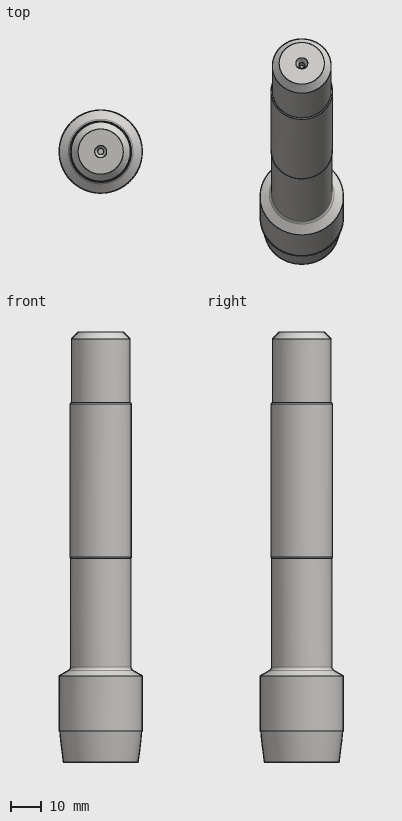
import cadquery as cq
import math

TOTAL_HEIGHT = 140.0
TIP_DIAMETER = 19.2
TIP_CHAMFER = 2.2
GUIDE_DIAMETER = 20.0
GUIDE_TOP = 116.6
GUIDE_CHAMFER = (GUIDE_DIAMETER - TIP_DIAMETER) / 2
SHANK_DIAMETER = 19.7
SHANK_TOP = 66.4
SHANK_CHAMFER = 0.4

CENTRE_HOLE_DIAMETER = 2.0
CENTRE_HOLE_DEPTH = 4.2
CENTRE_SINK_DIAMETER = 3.9
CENTRE_SINK_ANGLE = 60

HEAD_DIAMETER = 27.2
HEAD_BOTTOM = 10.2
SHOULDER_START = 28.1
SHOULDER_SLOPE = 30
SHOULDER_FILLET = 1.3
SHOULDER_TOP = SHOULDER_START + (HEAD_DIAMETER - SHANK_DIAMETER) / 2 * math.tan(math.radians(SHOULDER_SLOPE))

EDGE_MARGIN = 0.1

NOSE_TOP_DIAMETER = 26.7
NOSE_MIDDLE_DIAMETER = 25.8
NOSE_BOTTOM_DIAMETER = 24.4


def make_pillar():
    """Headed, stepped pillar, turned about Z, with a centre hole in its top."""
    tip_radius = TIP_DIAMETER / 2
    guide_radius = GUIDE_DIAMETER / 2
    shank_radius = SHANK_DIAMETER / 2
    head_radius = HEAD_DIAMETER / 2
    pillar = (
        cq.Workplane("XZ")
        .moveTo(0, HEAD_BOTTOM)
        .lineTo(head_radius, HEAD_BOTTOM)
        .lineTo(head_radius, SHOULDER_START)
        .lineTo(shank_radius, SHOULDER_TOP)
        .lineTo(shank_radius, SHANK_TOP)
        .lineTo(guide_radius, SHANK_TOP + SHANK_CHAMFER)
        .lineTo(guide_radius, GUIDE_TOP)
        .lineTo(tip_radius, GUIDE_TOP + GUIDE_CHAMFER)
        .lineTo(tip_radius, TOTAL_HEIGHT - TIP_CHAMFER)
        .lineTo(tip_radius - TIP_CHAMFER, TOTAL_HEIGHT)
        .lineTo(0, TOTAL_HEIGHT)
        .close()
        .revolve(360, (0, 0, 0), (0, 1, 0))
    )
    shoulder_corner = cq.selectors.BoxSelector(
        (-head_radius, -head_radius, SHOULDER_TOP - EDGE_MARGIN),
        (head_radius, head_radius, SHOULDER_TOP + EDGE_MARGIN),
        boundingbox=True,
    )
    pillar = pillar.edges(shoulder_corner).fillet(SHOULDER_FILLET)
    return (
        pillar.faces(">Z")
        .workplane()
        .cskHole(CENTRE_HOLE_DIAMETER, CENTRE_SINK_DIAMETER, CENTRE_SINK_ANGLE, CENTRE_HOLE_DEPTH)
    )


def make_nose():
    """Round nose seated flat against the underside of the head."""
    return (
        cq.Workplane("XZ")
        .moveTo(0, 0)
        .lineTo(NOSE_BOTTOM_DIAMETER / 2, 0)
        .threePointArc(
            (NOSE_MIDDLE_DIAMETER / 2, HEAD_BOTTOM / 2),
            (NOSE_TOP_DIAMETER / 2, HEAD_BOTTOM),
        )
        .lineTo(0, HEAD_BOTTOM)
        .close()
        .revolve(360, (0, 0, 0), (0, 1, 0))
    )


pillar = make_pillar()
nose = make_nose()

result = cq.Compound.makeCompound([pillar.val(), nose.val()])